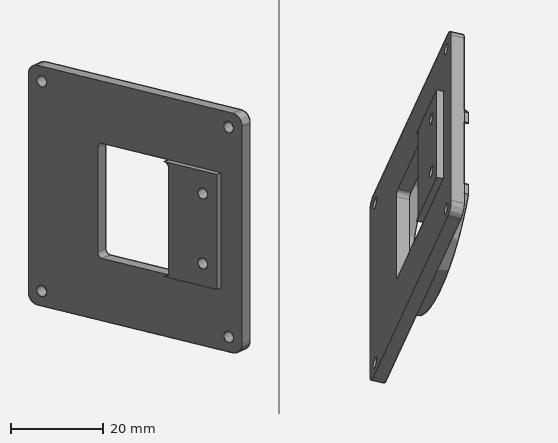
import cadquery as cq

plate_width = 57.3
plate_height = 55.0
plate_thickness = 3.0
plate_corner_radius = 2.5
corner_hole_diameter = 2.6
corner_hole_spacing_x = 50.1
corner_hole_spacing_z = 48.1

rim_outer_diameter = 45.65
rim_inner_diameter = 42.2
rim_height = 4.0
rim_end_x = 19.25

window_width = 20.0
window_height = 26.4
window_corner_radius = 1.15

pad_height = 1.5
pad_start_x = window_width / 2 - window_corner_radius
pad_end_x = 23.05
pad_hole_diameter = 2.5
pad_hole_x = 19.2
pad_hole_spacing_z = 16.05

back_y = plate_thickness + rim_height
total_depth = pad_height + back_y


def front_plane(y):
    """Sketch plane at the given Y: local x is X, local y is Z, extrusion runs toward -Y."""
    return cq.Workplane("XZ", origin=(0, y, 0))


def make_plate():
    plate = front_plane(plate_thickness).rect(plate_width, plate_height).extrude(plate_thickness)
    return plate.edges("|Y").fillet(plate_corner_radius)


def make_rim():
    rim = (
        front_plane(back_y)
        .circle(rim_outer_diameter / 2)
        .circle(rim_inner_diameter / 2)
        .extrude(rim_height)
    )
    kept_width = rim_outer_diameter / 2 + rim_end_x
    kept_side = (
        front_plane(back_y)
        .center(rim_end_x - kept_width / 2, 0)
        .rect(kept_width, rim_outer_diameter)
        .extrude(rim_height)
    )
    return rim.intersect(kept_side)


def make_pad():
    pad_width = pad_end_x - pad_start_x
    pad_center_x = (pad_start_x + pad_end_x) / 2
    return front_plane(0).center(pad_center_x, 0).rect(pad_width, window_height).extrude(pad_height)


def make_window():
    window = front_plane(back_y).rect(window_width, window_height).extrude(total_depth)
    return window.edges("|Y").fillet(window_corner_radius)


def make_holes(points, diameter):
    return front_plane(back_y).pushPoints(points).circle(diameter / 2).extrude(total_depth)


corner_hole_points = [
    (side_x * corner_hole_spacing_x / 2, side_z * corner_hole_spacing_z / 2)
    for side_x in (-1, 1)
    for side_z in (-1, 1)
]
pad_hole_points = [(pad_hole_x, side_z * pad_hole_spacing_z / 2) for side_z in (-1, 1)]

result = (
    make_plate()
    .union(make_rim())
    .union(make_pad())
    .cut(make_window())
    .cut(make_holes(corner_hole_points, corner_hole_diameter))
    .cut(make_holes(pad_hole_points, pad_hole_diameter))
)